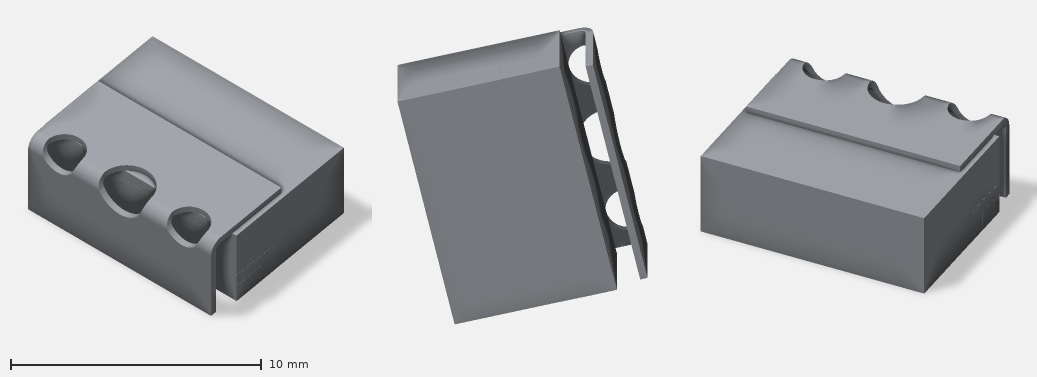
import cadquery as cq
import math

LENGTH = 10.0
DEPTH = 7.95
HEIGHT = 3.9

SHEET = 0.3
INNER_BEND = 0.3
OUTER_BEND = INNER_BEND + SHEET
COVER_WIDTH = 9.54
COVER_REACH = 4.34

SIDE_WINDOW_DIAMETER = 1.78
MIDDLE_WINDOW_DIAMETER = 2.38
SIDE_WINDOW_SPACING = 3.24
BEND_ANGLE = math.pi / 2
BEND_LENGTH = BEND_ANGLE * (INNER_BEND + SHEET / 2)
CURVE_STEPS = 16
WINDOW_OFFSET = 0.15

FILM = 0.005
BLOCK_FRONT = 1.31
BLOCK_HEIGHT = HEIGHT - SHEET
PATCH_LENGTH = 7.38
PATCH_TOP = 3.04
PATCH_BOTTOM = BLOCK_HEIGHT - PATCH_TOP
STRAP_WIDTH = 0.85
INNER_PAD_DEPTH = 1.48
OUTER_PAD_DEPTH = 2.38
OUTER_PAD_HEIGHT = 1.41

PADS = [
    (OUTER_PAD_DEPTH, OUTER_PAD_HEIGHT),
    (INNER_PAD_DEPTH, STRAP_WIDTH),
]
PAD_LAYERS = len(PADS)

WINDOWS = [
    (-SIDE_WINDOW_SPACING, SIDE_WINDOW_DIAMETER / 2),
    (0, MIDDLE_WINDOW_DIAMETER / 2),
    (SIDE_WINDOW_SPACING, SIDE_WINDOW_DIAMETER / 2),
]


def box(x_range, y_range, z_range):
    """Box spanning the given (start, end) ranges."""
    spans = (x_range, y_range, z_range)
    size = [end - start for start, end in spans]
    corner = tuple(start for start, end in spans)
    return cq.Workplane("XY").box(*size, centered=False).translate(corner)


def bend_window(x_center, radius):
    """Cutter for the part of a window that lies on the bend; its walls point at the bend axis."""
    radii = (INNER_BEND / 2, OUTER_BEND + INNER_BEND / 2)

    def wall_edge(side, bend_radius):
        def point(angle):
            along_sheet = BEND_LENGTH * angle / BEND_ANGLE - WINDOW_OFFSET
            half_width = math.sqrt(radius**2 - along_sheet**2)
            return cq.Vector(
                x_center + side * half_width,
                OUTER_BEND - bend_radius * math.sin(angle),
                HEIGHT - OUTER_BEND + bend_radius * math.cos(angle),
            )

        angles = [BEND_ANGLE * step / CURVE_STEPS for step in range(CURVE_STEPS + 1)]
        return cq.Edge.makeSpline([point(angle) for angle in angles])

    left_inner, left_outer = [wall_edge(-1, r) for r in radii]
    right_inner, right_outer = [wall_edge(1, r) for r in radii]
    loop = [left_inner, left_outer, right_outer, right_inner]
    walls = [cq.Face.makeRuledSurface(loop[i - 1], loop[i]) for i in range(4)]
    ends = [
        cq.Face.makeFromWires(cq.Wire.makePolygon([e.positionAt(t) for e in loop], close=True))
        for t in (0, 1)
    ]
    return cq.Workplane(cq.Solid.makeSolid(cq.Shell.makeShell(walls + ends)))


def make_cover():
    """L-shaped sheet: top leaf, quarter-round bend and front leaf, with three windows across the bend."""
    half = COVER_WIDTH / 2
    bend_z = HEIGHT - OUTER_BEND
    top_leaf = box((-half, half), (OUTER_BEND, COVER_REACH), (BLOCK_HEIGHT, HEIGHT))
    front_leaf = box((-half, half), (0, SHEET), (0, bend_z))
    ring = (
        cq.Workplane("YZ", origin=(-half, OUTER_BEND, bend_z))
        .circle(OUTER_BEND)
        .circle(INNER_BEND)
        .extrude(COVER_WIDTH)
    )
    bend = ring.intersect(box((-half, half), (0, OUTER_BEND), (bend_z, HEIGHT)))

    top_center_y = OUTER_BEND - WINDOW_OFFSET
    front_center_z = bend_z + BEND_LENGTH - WINDOW_OFFSET
    for x, radius in WINDOWS:
        top_leaf = top_leaf.cut(
            cq.Workplane("XY", origin=(x, top_center_y, 0)).circle(radius).extrude(HEIGHT)
        )
        front_leaf = front_leaf.cut(
            cq.Workplane("XZ", origin=(x, SHEET, front_center_z)).circle(radius).extrude(SHEET)
        )
        bend = bend.cut(bend_window(x, radius))
    return top_leaf.union(bend).union(front_leaf)


def make_body():
    """Block with a film on its front face that runs down two straps to pads on its ends."""
    half = LENGTH / 2
    front = BLOCK_FRONT
    inner = half - PAD_LAYERS * FILM
    body = box((-inner, inner), (front, DEPTH), (0, BLOCK_HEIGHT))

    half_patch = PATCH_LENGTH / 2
    film_outline = [
        (half, 0),
        (half, STRAP_WIDTH),
        (half_patch, PATCH_BOTTOM + STRAP_WIDTH),
        (half_patch, PATCH_TOP),
    ]
    mirrored = [(-x, z) for x, z in reversed(film_outline)]
    film = (
        cq.Workplane("XZ", origin=(0, front, 0))
        .polyline(film_outline + mirrored + [(-half_patch, PATCH_BOTTOM), (half_patch, PATCH_BOTTOM)])
        .close()
        .extrude(FILM)
    )
    for side in (-1, 1):
        for layer, (depth, height) in enumerate(PADS, start=1):
            pad = box((inner, inner + layer * FILM), (front, front + depth), (0, height))
            body = body.union(pad if side > 0 else pad.mirror("YZ"))
    return body.union(film)


result = make_cover().union(make_body())